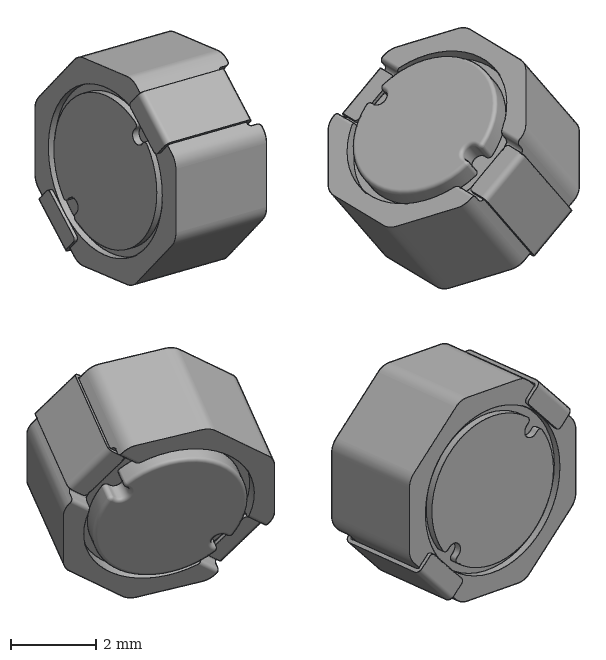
import cadquery as cq
import math


housing_width = 5.2
housing_depth = 2.75
corner_cut = 1.595
corner_radius = 0.5
bore_radius = 2.1
diagonal_face_distance = (housing_width - corner_cut) / math.sqrt(2)

strap_thickness = 0.1
strap_width = 1.4
strap_back = 2.5
pad_length = 0.6
bend_radius = 0.145
pad_corner_radius = 0.1
strap_outer_radius = diagonal_face_distance + bend_radius
strap_inner_radius = strap_outer_radius - pad_length
bend_inner_radius = bend_radius - strap_thickness

notch_width = 1.6
notch_floor = strap_back - strap_thickness
notch_edge_radius = 0.1

flange_radius = 1.9
front_flange_thickness = 0.2
drum_rise = 0.15
drum_back = housing_depth + drum_rise
wire_notch_radius = 0.2
wire_notch_distance = 1.7
wire_notch_corner_radius = 0.1
drum_edge_radius = 0.095

diagonal_angles = (-45, 135)


def workplane_at(y):
    """X-Z plane at the given Y; its normal is -Y, so a negative extrusion goes toward +Y."""
    return cq.Workplane("XZ", origin=(0, y, 0))


def turned(body, angle):
    """The body turned about the drum axis; -45 degrees takes +X to the +X+Z diagonal."""
    return body.rotate((0, 0, 0), (0, 1, 0), angle)


def block(x_start, x_end, y_start, y_end, width):
    """Box between the given X and Y limits, centred on Z = 0."""
    size = (x_end - x_start, y_end - y_start, width)
    return cq.Workplane("XY").box(*size, centered=(False, False, True)).translate((x_start, y_start, 0))


def make_notch_cutter():
    """Recess for a back pad, from the bore outwards, with rounded floor corners and rim edges."""
    half_width = notch_width / 2
    r = notch_edge_radius
    half_profile = (
        cq.Workplane("ZY")
        .moveTo(0, notch_floor)
        .lineTo(half_width - r, notch_floor)
        .radiusArc((half_width, notch_floor + r), -r)
        .lineTo(half_width, housing_depth - r)
        .radiusArc((half_width + r, housing_depth), r)
        .lineTo(0, housing_depth)
        .close()
        .extrude(-housing_width)
    )
    return half_profile.union(half_profile.mirror("XY"))


def make_housing():
    """Octagonal block with rounded corners, the bore and a notch for each back pad."""
    body = workplane_at(0).rect(housing_width, housing_width).extrude(-housing_depth)
    body = body.edges("|Y").chamfer(corner_cut)
    body = body.edges("|Y").fillet(corner_radius)
    for angle in diagonal_angles:
        body = body.cut(turned(make_notch_cutter(), angle))
    bore = workplane_at(0).circle(bore_radius).extrude(-housing_depth)
    return body.cut(bore)


def make_terminal(angle):
    """Strap along one diagonal face, bent inward at both ends into a front pad and a back pad."""
    strap = block(strap_inner_radius, strap_outer_radius, -strap_thickness, strap_back, strap_width)
    strap = strap.edges("|Z and >X").fillet(bend_radius)
    inside = block(0, strap_outer_radius - strap_thickness, 0, notch_floor, strap_width)
    inside = inside.edges("|Z and >X").fillet(bend_inner_radius)
    strap = strap.cut(inside)
    strap = strap.edges("|Y and <X").fillet(pad_corner_radius)
    return turned(strap, angle)


def make_flange(y_start, y_end):
    """Disc with two opposite, round-mouthed wire notches on the diagonal of the terminals."""
    thickness = y_end - y_start
    disc = workplane_at(y_start).circle(flange_radius).extrude(-thickness)
    round_end = workplane_at(y_start).center(wire_notch_distance, 0).circle(wire_notch_radius)
    mouth = block(wire_notch_distance, housing_width, y_start, y_end, 2 * wire_notch_radius)
    wire_notch = round_end.extrude(-thickness).union(mouth)
    for angle in (0, 180):
        disc = disc.cut(turned(wire_notch, angle))
    mouth_corners = disc.edges("|Y").edges("<X or >X")
    return turned(mouth_corners.fillet(wire_notch_corner_radius), diagonal_angles[0])


def make_drum():
    """Front flange flush with the housing, hub in the bore, and a round-edged back flange."""
    front_flange = make_flange(0, front_flange_thickness)
    hub_length = notch_floor - front_flange_thickness
    hub = workplane_at(front_flange_thickness).circle(bore_radius).extrude(-hub_length)
    back_flange = make_flange(notch_floor, drum_back)
    back_flange = back_flange.faces(">Y").edges().fillet(drum_edge_radius)
    return front_flange.union(hub).union(back_flange)


housing = make_housing()
drum = make_drum()
terminals = [make_terminal(angle).val() for angle in diagonal_angles]

result = cq.Compound.makeCompound([housing.val(), drum.val(), *terminals])